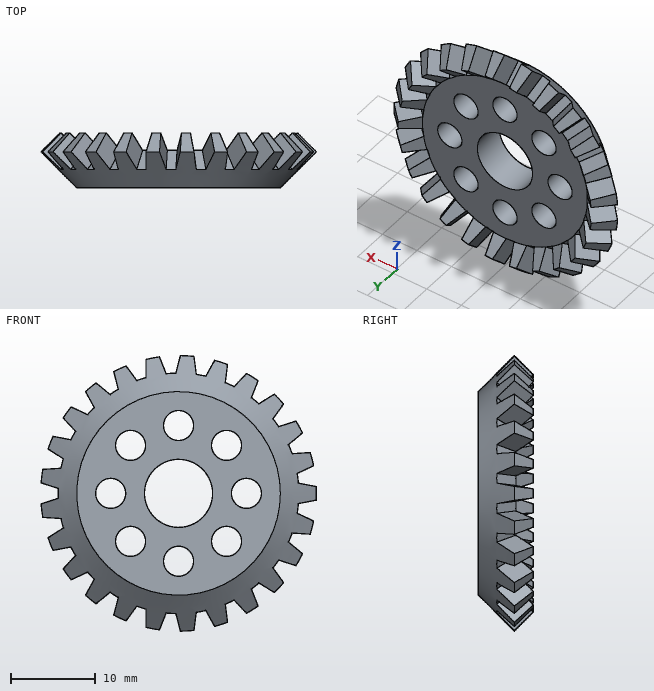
import cadquery as cq
import math

tooth_count = 25
tip_radius = 16.25
front_radius = 12.0
total_depth = 6.5
web_thickness = 4.45

bore_diameter = 8.0
bolt_hole_diameter = 3.5
bolt_hole_count = 8
bolt_circle_radius = 8.0

gap_depth = 2.92
gap_floor_width = 1.15
gap_tip_width = 2.47

cone_angle = 45
tip_depth = tip_radius - front_radius
inner_tip_radius = tip_radius - (total_depth - tip_depth)
recess_radius = inner_tip_radius - (total_depth - web_thickness)
pitch_angle = 360 / tooth_count


def make_blank():
    """Revolve the gear section: front face, back cone, face cone and rear recess."""
    section = [
        (0, 0),
        (front_radius, 0),
        (tip_radius, tip_depth),
        (inner_tip_radius, total_depth),
        (recess_radius, web_thickness),
        (0, web_thickness),
    ]
    return cq.Workplane("XY").polyline(section).close().revolve(360, (0, 0), (0, 1))


def make_gap_cutter():
    """Straight tapered slot through one tooth gap, centred on the +X axis."""
    overshoot = 0.97
    side_slope = (gap_tip_width - gap_floor_width) / 2 / gap_depth
    floor_half = gap_floor_width / 2
    top_half = gap_tip_width / 2 + overshoot * side_slope
    slot_length = 2 * total_depth

    slope_x = math.cos(math.radians(cone_angle))
    slope_y = math.sin(math.radians(cone_angle))
    slot_plane = cq.Plane(
        origin=(tip_radius, tip_depth, 0),
        xDir=(0, 0, 1),
        normal=(-slope_x, slope_y, 0),
    )
    outline = [
        (-floor_half, -gap_depth),
        (floor_half, -gap_depth),
        (top_half, overshoot),
        (-top_half, overshoot),
    ]
    return cq.Workplane(slot_plane).polyline(outline).close().extrude(slot_length / 2, both=True)


def cut_tooth_gaps(body):
    """Cut the gaps half a pitch off +X, so that one tooth is centred on +X."""
    cutter = make_gap_cutter()
    for index in range(tooth_count):
        angle = (index + 0.5) * pitch_angle
        body = body.cut(cutter.rotate((0, 0, 0), (0, 1, 0), angle))
    return body


def cut_holes(body):
    """Drill the central bore and the ring of bolt holes through the web."""
    bore = cq.Workplane("XZ").circle(bore_diameter / 2).extrude(-total_depth)
    bolt_holes = (
        cq.Workplane("XZ")
        .polarArray(bolt_circle_radius, 0, 360, bolt_hole_count)
        .circle(bolt_hole_diameter / 2)
        .extrude(-total_depth)
    )
    return body.cut(bore).cut(bolt_holes)


result = cut_holes(cut_tooth_gaps(make_blank()))